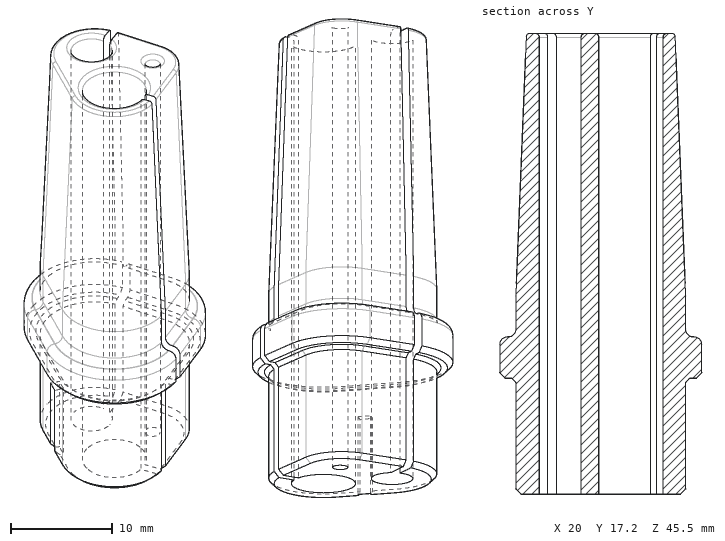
import cadquery as cq
import math

total_height = 45.5
flange_side_radius = 7.0
flange_rear_radius = 5.82
side_center_x = 2.98
rear_center_y = 4.35

flange_overhang = 1.6
flange_bottom = 11.45
flange_top = 15.55
flange_top_round = 0.77
flange_root_round = 0.77
flange_bottom_chamfer = 0.55
flange_bottom_root = 0.4
base_chamfer = 0.55
taper_start = 19.55
taper_inset = 1.05
top_round = 0.3

large_bore_diameter = 6.32
small_bore_diameter = 4.1
small_bore_x = -4.0
pin_bore_diameter = 1.5
pin_bore_y = 5
bore_rim = 0.4

side_slot_width = 0.85
side_slot_angle = 45
side_slot_length = 13.65
key_slot_width = 1.27
key_slot_height = 8.0
key_slot_depth = 0.9


def section(z, inset):
    """Flange outline at height z, moved inward by inset."""
    side_radius = flange_side_radius - inset
    rear_radius = flange_rear_radius - inset
    center_distance = math.hypot(side_center_x, rear_center_y)
    normal = math.atan2(side_center_x, rear_center_y) + math.asin(
        (side_radius - rear_radius) / center_distance
    )
    out_x = math.cos(normal)
    out_y = math.sin(normal)
    side_x = side_center_x + side_radius * out_x
    side_y = side_radius * out_y
    rear_x = rear_radius * out_x
    rear_y = rear_center_y + rear_radius * out_y
    middle = (normal - math.pi / 2) / 2
    middle_x = side_center_x + side_radius * math.cos(middle)
    middle_y = side_radius * math.sin(middle)
    return (
        cq.Workplane("XY", origin=(0, 0, z))
        .moveTo(-side_center_x, -side_radius)
        .lineTo(side_center_x, -side_radius)
        .threePointArc((middle_x, middle_y), (side_x, side_y))
        .lineTo(rear_x, rear_y)
        .threePointArc((0, rear_center_y + rear_radius), (-rear_x, rear_y))
        .lineTo(-side_x, side_y)
        .threePointArc((-middle_x, middle_y), (-side_center_x, -side_radius))
        .close()
    )


def layer(bottom, top, bottom_inset, top_inset):
    """Solid between two heights, straight or sloped."""
    if bottom_inset == top_inset:
        return section(bottom, bottom_inset).extrude(top - bottom)
    lower = section(bottom, bottom_inset).val()
    upper = section(top, top_inset).val()
    return cq.Workplane(cq.Solid.makeLoft([lower, upper], True))


def make_body():
    """Tapered body with its flange, before any cuts."""
    sleeve = layer(0, taper_start, flange_overhang, flange_overhang)
    sleeve = sleeve.faces("<Z").edges().chamfer(base_chamfer)
    taper = layer(taper_start, total_height, flange_overhang, flange_overhang + taper_inset)
    taper = taper.faces(">Z").edges().fillet(top_round)
    lower_root = layer(
        flange_bottom - flange_bottom_root,
        flange_bottom,
        flange_overhang,
        flange_overhang - flange_bottom_root,
    )
    flange = layer(flange_bottom, flange_top, 0, 0)
    flange = flange.faces("<Z").edges().chamfer(flange_bottom_chamfer)
    body = sleeve.union(lower_root).union(flange)
    ledge = body.faces("+Z").faces("<Z")
    root_edges = ledge.val().innerWires()[0].Edges()
    body = ledge.newObject(root_edges).fillet(flange_root_round)
    ledge = body.faces("+Z").faces("<Z")
    body = ledge.newObject(ledge.val().outerWire().Edges()).fillet(flange_top_round)
    return body.union(taper)


def bore(x, y, diameter):
    """Through bore with a rounded rim at the top."""
    radius = diameter / 2
    rim_start = total_height - bore_rim
    diagonal = bore_rim * math.sqrt(0.5)
    return (
        cq.Workplane("XZ")
        .lineTo(radius, 0)
        .lineTo(radius, rim_start)
        .threePointArc(
            (radius + bore_rim - diagonal, rim_start + diagonal),
            (radius + bore_rim, total_height),
        )
        .lineTo(0, total_height)
        .close()
        .revolve(360, (0, 0, 0), (0, 1, 0))
        .translate((x, y, 0))
    )


def side_slot(side):
    """Full-height slot from a side arc center outward to the rear; side is -1 or 1."""
    return (
        cq.Workplane("XY")
        .box(side_slot_length, side_slot_width, total_height, centered=(False, True, False))
        .rotate((0, 0, 0), (0, 0, 1), 90 - side * (90 - side_slot_angle))
        .translate((side * side_center_x, 0, 0))
    )


def key_slot():
    """Short slot in the flat front of the base."""
    front_y = flange_overhang - flange_side_radius
    return (
        cq.Workplane("XY")
        .box(key_slot_width, key_slot_depth, key_slot_height, centered=(True, False, False))
        .translate((0, front_y, 0))
    )


result = make_body()
result = result.cut(bore(side_center_x, 0, large_bore_diameter))
result = result.cut(bore(small_bore_x, 0, small_bore_diameter))
result = result.cut(bore(0, pin_bore_y, pin_bore_diameter))
for side in (-1, 1):
    result = result.cut(side_slot(side))
result = result.cut(key_slot())